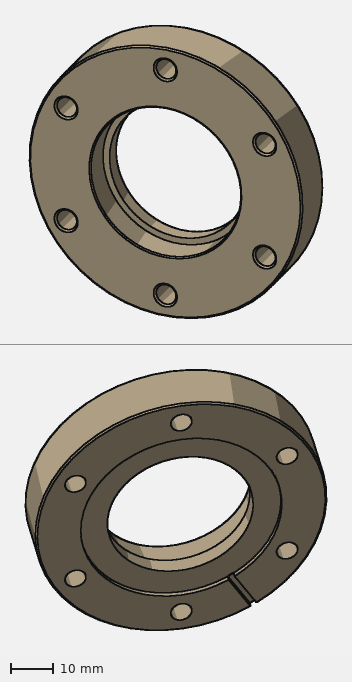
import cadquery as cq
import math

outer_diameter = 70.0
thickness = 12.7
rim_chamfer = 0.4

bore_diameter = 35.0
recess_diameter = 38.35
recess_depth = 7.5
recess_chamfer = 0.35

gasket_diameter = 48.3
gasket_depth = 1.2

bolt_count = 6
bolt_circle_diameter = 58.7
bolt_hole_diameter = 5.05
bolt_chamfer = 0.5

groove_angle = 240.0
groove_width = 1.7
groove_depth = 1.5

outer_radius = outer_diameter / 2
groove_start = math.sqrt((gasket_diameter / 2) ** 2 - (groove_width / 2) ** 2)
groove_length = outer_radius - groove_start
front_y = -thickness / 2
back_y = thickness / 2


def cylinder(diameter, start_y, length, x=0.0, z=0.0):
    """Cylinder along +Y, starting at start_y."""
    return cq.Workplane(cq.Solid.makeCylinder(
        diameter / 2, length, cq.Vector(x, start_y, z), cq.Vector(0, 1, 0)))


def front_countersink(diameter, chamfer, x=0.0, z=0.0):
    """Conical cutter that bevels the front edge of a hole at 45 degrees."""
    return cq.Workplane(cq.Solid.makeCone(
        diameter / 2 + chamfer, diameter / 2, chamfer,
        cq.Vector(x, front_y, z), cq.Vector(0, 1, 0)))


def bolt_hole(index):
    angle = math.radians(90 + index * 360 / bolt_count)
    x = bolt_circle_diameter / 2 * math.cos(angle)
    z = bolt_circle_diameter / 2 * math.sin(angle)
    hole = cylinder(bolt_hole_diameter, front_y, thickness, x, z)
    return hole.union(front_countersink(bolt_hole_diameter, bolt_chamfer, x, z))


def rim_groove():
    groove = cq.Workplane("XY").box(groove_length, groove_depth, groove_width)
    center_x = outer_radius - groove_length / 2
    groove = groove.translate((center_x, back_y - groove_depth / 2, 0))
    return groove.rotate((0, 0, 0), (0, 1, 0), -groove_angle)


result = cylinder(outer_diameter, front_y, thickness).edges("%CIRCLE").chamfer(rim_chamfer)

result = result.cut(cylinder(bore_diameter, front_y, thickness))
result = result.cut(cylinder(recess_diameter, front_y, recess_depth))
result = result.cut(front_countersink(recess_diameter, recess_chamfer))

result = result.cut(cylinder(gasket_diameter, back_y - gasket_depth, gasket_depth))

for bolt_index in range(bolt_count):
    result = result.cut(bolt_hole(bolt_index))

result = result.cut(rim_groove())